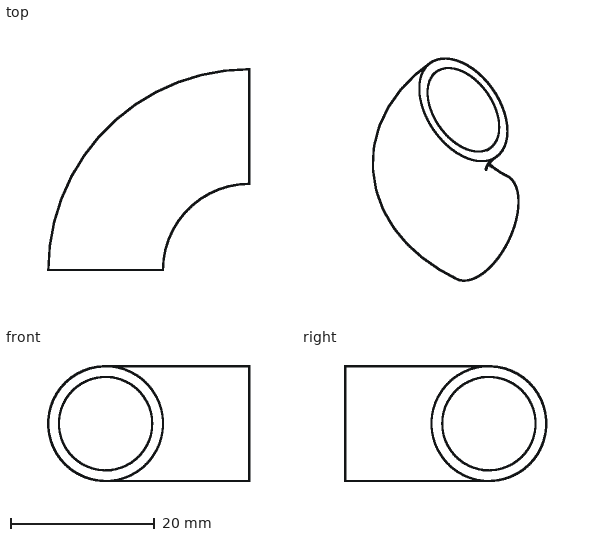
import cadquery as cq

outer_diameter = 16.0
wall_thickness = 1.5
bend_radius = 20.0
bend_angle = 90.0

inner_diameter = outer_diameter - 2 * wall_thickness


def make_elbow():
    """Revolve the pipe's ring section about the bend axis.

    The first end is centred on the origin and faces -Y; the second end faces +X.
    The bend axis is parallel to Z and passes through (bend_radius, 0).
    """
    ring = cq.Workplane("XZ").circle(outer_diameter / 2).circle(inner_diameter / 2)
    axis_start = (bend_radius, 0)
    axis_end = (bend_radius, -1)
    return ring.revolve(bend_angle, axis_start, axis_end)


result = make_elbow()